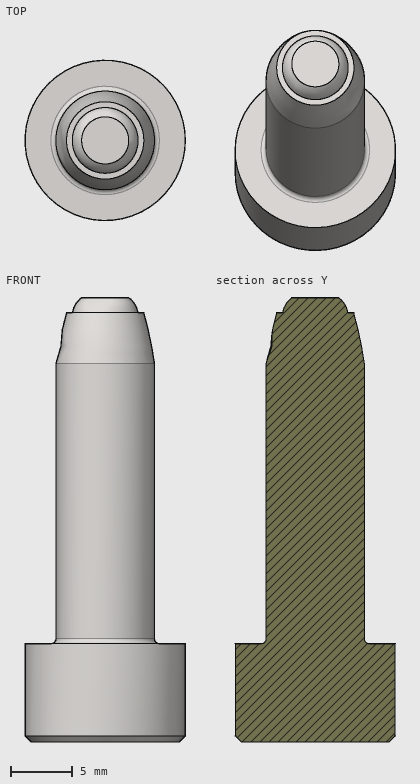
import cadquery as cq
import math

total_height = 36.0
head_diameter = 13.0
head_height = 8.0
head_chamfer = 0.5
shank_diameter = 8.0
root_fillet = 0.4

nose_height = 4.1
nose_top_radius = 3.15
nose_bulge = 0.07

tip_height = 1.22
tip_base_radius = 2.65
tip_flat_radius = 1.9
tip_bulge = 0.15

head_radius = head_diameter / 2
shank_radius = shank_diameter / 2
nose_top_z = total_height - tip_height
nose_base_z = nose_top_z - nose_height


def bulged_midpoint(start, end, bulge):
    """Midpoint of a rising line, pushed outward from the axis by the bulge."""
    run = end[0] - start[0]
    rise = end[1] - start[1]
    length = math.hypot(run, rise)
    middle_radius = (start[0] + end[0]) / 2 + bulge * rise / length
    middle_z = (start[1] + end[1]) / 2 - bulge * run / length
    return (middle_radius, middle_z)


nose_base = (shank_radius, nose_base_z)
nose_top = (nose_top_radius, nose_top_z)
tip_base = (tip_base_radius, nose_top_z)
tip_top = (tip_flat_radius, total_height)

root_start = (shank_radius + root_fillet, head_height)
root_end = (shank_radius, head_height + root_fillet)
root_inset = root_fillet * (1 - math.sqrt(0.5))
root_middle = (shank_radius + root_inset, head_height + root_inset)

profile = (
    cq.Workplane("XZ")
    .lineTo(head_radius - head_chamfer, 0)
    .lineTo(head_radius, head_chamfer)
    .lineTo(head_radius, head_height)
    .lineTo(*root_start)
    .threePointArc(root_middle, root_end)
    .lineTo(*nose_base)
    .threePointArc(bulged_midpoint(nose_base, nose_top, nose_bulge), nose_top)
    .lineTo(*tip_base)
    .threePointArc(bulged_midpoint(tip_base, tip_top, tip_bulge), tip_top)
    .lineTo(0, total_height)
    .close()
)

result = profile.revolve(360, (0, 0, 0), (0, 1, 0))